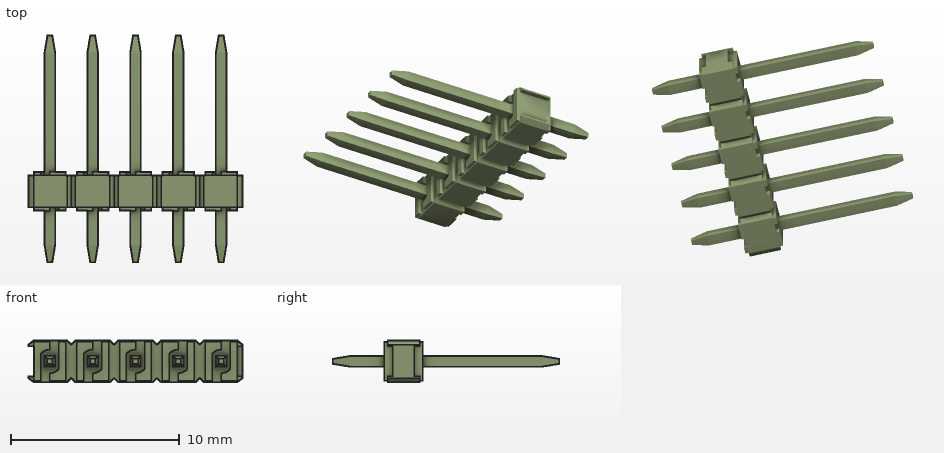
import cadquery as cq
import math

pin_count = 5
pitch = 2.54
housing_height = 2.49
housing_depth = 1.9

notch_depth = 0.25
notch_half_width = 0.25
end_wall_offset = 0.325
end_lip_thickness = 0.1
tongue_setback = 0.3

pad_thickness = 0.2
pad_height = 2.3
pad_strip_width = 0.41
pin_clearance_radius = 0.7

pin_width = 0.64
pin_tip_width = 0.3
pin_taper_length = 1.02
pin_length = 13.46
pin_front_reach = 4.21

half_length = pin_count * pitch / 2
half_height = housing_height / 2
half_depth = housing_depth / 2
wall_x = half_length - end_wall_offset
notch_z = half_height - notch_depth
tongue_half_height = notch_z - end_lip_thickness
pad_half_width = pitch / 2 - end_wall_offset
pad_half_height = pad_height / 2
pad_inner_x = pad_half_width - pad_strip_width
pin_positions = [(i - (pin_count - 1) / 2) * pitch for i in range(pin_count)]
notch_positions = [x + pitch / 2 for x in pin_positions[:-1]]


def box_between(x_range, y_range, z_range):
    """Axis-aligned box from its limits along each axis."""
    corner = (x_range[0], y_range[0], z_range[0])
    size = (x_range[1] - x_range[0], y_range[1] - y_range[0], z_range[1] - z_range[0])
    return cq.Workplane("XY").box(*size, centered=False).translate(corner)


def extrude_through_depth(points):
    """Prism through the full housing depth from an outline of (x, z) points."""
    return cq.Workplane("XZ").polyline(points).close().extrude(half_depth, both=True)


def make_housing():
    """Bar with chamfered ends and a V groove above and below each position boundary."""
    top_edge = [(-half_length, notch_z), (-wall_x, half_height)]
    for x in notch_positions:
        top_edge.append((x - notch_half_width, half_height))
        top_edge.append((x, notch_z))
        top_edge.append((x + notch_half_width, half_height))
    top_edge += [(wall_x, half_height), (half_length, notch_z)]
    bottom_edge = [(x, -z) for x, z in reversed(top_edge)]
    return extrude_through_depth(top_edge + bottom_edge)


def cut_end_recesses(housing):
    """Open a groove in the -X end and leave a set-back tongue in the +X end."""
    z_range = (-tongue_half_height, tongue_half_height)
    right_x = (wall_x, half_length)
    tongue_half_depth = half_depth - tongue_setback
    groove = box_between((-half_length, -wall_x), (-half_depth, half_depth), z_range)
    front_step = box_between(right_x, (-half_depth, -tongue_half_depth), z_range)
    back_step = box_between(right_x, (tongue_half_depth, half_depth), z_range)
    return housing.cut(groove).cut(front_step).cut(back_step)


def make_front_pad():
    """Hooked pad: a full-height strip on -X with an arm over the pin, relieved by an arc."""
    arc_start_z = math.sqrt(pin_clearance_radius**2 - pad_inner_x**2)
    arc_middle_angle = (math.pi / 2 + math.atan2(arc_start_z, -pad_inner_x)) / 2
    arc_middle = (
        pin_clearance_radius * math.cos(arc_middle_angle),
        pin_clearance_radius * math.sin(arc_middle_angle),
    )
    return (
        cq.Workplane("XZ", origin=(0, -half_depth, 0))
        .moveTo(-pad_half_width, -pad_half_height)
        .lineTo(-pad_inner_x, -pad_half_height)
        .lineTo(-pad_inner_x, arc_start_z)
        .threePointArc(arc_middle, (0, pin_clearance_radius))
        .lineTo(0, pad_half_height)
        .lineTo(-pad_half_width, pad_half_height)
        .close()
        .extrude(pad_thickness)
    )


def make_pads():
    """Two interlocking pads on the front face and the same pair turned onto the back face."""
    pad = make_front_pad()
    pads = [pad, pad.rotate((0, 0, 0), (0, 1, 0), 180)]
    return pads + [p.rotate((0, 0, 0), (0, 0, 1), 180) for p in pads]


def make_pin():
    """Square pin along Y with a pyramidal taper at both ends."""
    front_tip_y = -pin_front_reach
    back_tip_y = front_tip_y + pin_length
    shaft_front_y = front_tip_y + pin_taper_length
    shaft_back_y = back_tip_y - pin_taper_length
    half_width = pin_width / 2
    side_range = (-half_width, half_width)
    shaft = box_between(side_range, (shaft_front_y, shaft_back_y), side_range)

    def taper(base_y, direction):
        plane = cq.Plane(origin=(0, base_y, 0), xDir=(1, 0, 0), normal=(0, direction, 0))
        return (
            cq.Workplane(plane)
            .rect(pin_width, pin_width)
            .workplane(offset=pin_taper_length)
            .rect(pin_tip_width, pin_tip_width)
            .loft(ruled=True)
        )

    return shaft.union(taper(shaft_front_y, -1)).union(taper(shaft_back_y, 1))


result = cut_end_recesses(make_housing())
position_features = make_pads() + [make_pin()]
for pin_x in pin_positions:
    for feature in position_features:
        result = result.union(feature.translate((pin_x, 0, 0)))